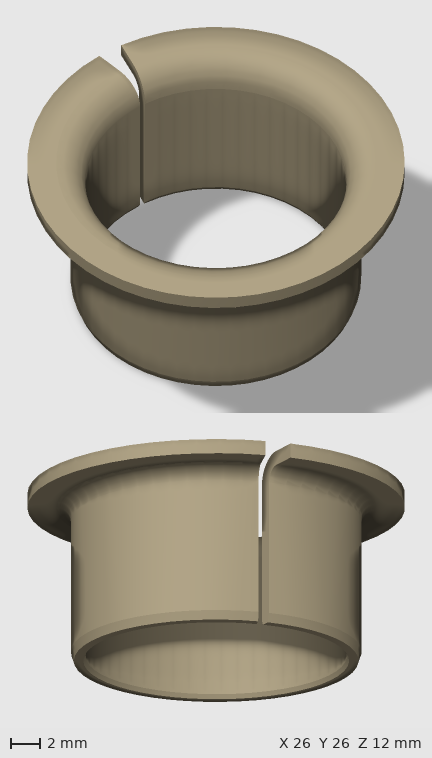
import cadquery as cq
import math

flange_diameter = 26.0
height = 12.0
wall = 1.01
bore_diameter = 17.99
mouth_radius = 2.0
barrel_chamfer_height = 0.62
barrel_chamfer_width = 0.2
bore_chamfer_height = 0.3
bore_chamfer_width = 0.15
split_bore_width = 0.42
split_half_angle = 10.0

flange_radius = flange_diameter / 2
bore_radius = bore_diameter / 2
barrel_radius = bore_radius + wall
neck_radius = mouth_radius - wall
top = height / 2
bottom = -top
bend_center_x = bore_radius + mouth_radius
bend_center_z = top - mouth_radius
diagonal = math.sqrt(0.5)


def bend_midpoint(radius):
    """Middle of a quarter arc around the centre of the flange bend."""
    return (bend_center_x - radius * diagonal, bend_center_z + radius * diagonal)


def bushing_body():
    """Revolve the wall section, which bends outward into the flange."""
    section = (
        cq.Workplane("XZ")
        .moveTo(bore_radius, bottom + bore_chamfer_height)
        .lineTo(bore_radius + bore_chamfer_width, bottom)
        .lineTo(barrel_radius - barrel_chamfer_width, bottom)
        .lineTo(barrel_radius, bottom + barrel_chamfer_height)
        .lineTo(barrel_radius, bend_center_z)
        .threePointArc(bend_midpoint(neck_radius), (bend_center_x, top - wall))
        .lineTo(flange_radius, top - wall)
        .lineTo(flange_radius, top)
        .lineTo(bend_center_x, top)
        .threePointArc(bend_midpoint(mouth_radius), (bore_radius, bend_center_z))
        .close()
    )
    return section.revolve(360, (0, 0, 0), (0, 1, 0)).rotate((0, 0, 0), (0, 0, 1), 180)


def split_wedge():
    """Wedge that opens outward along -X and cuts through the full height."""
    slope = math.tan(math.radians(split_half_angle))
    apex_x = -bore_radius + split_bore_width / 2 / slope
    outer_x = -1.1 * flange_radius
    half_width = (apex_x - outer_x) * slope
    return (
        cq.Workplane("XY")
        .workplane(offset=bottom)
        .polyline([(apex_x, 0), (outer_x, half_width), (outer_x, -half_width)])
        .close()
        .extrude(height)
    )


result = bushing_body().cut(split_wedge())